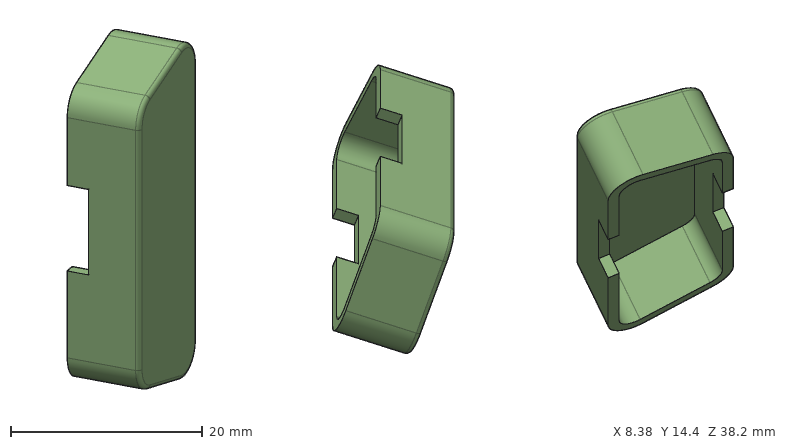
import cadquery as cq
import math

depth = 8.38
width = 14.35
height = 38.16

end_slope = math.radians(15)
corner_radius = 3.175
wall = 1.27
floor = 1.27
back_edge_radius = 0.508

notch_length = 9.78
notch_depth = 2.44
notch_center_z = 1.08


def trapezoid(inset, radius, start_x, length):
    """Rounded trapezoid prism along X, its sides moved inward by inset."""
    tall_arc_z = height / 2 - corner_radius
    slope_offset = (corner_radius - inset) / math.cos(end_slope)
    tall_arc_y = width / 2 - corner_radius
    side_y = width / 2 - inset
    tall_z = tall_arc_z + slope_offset + (side_y - tall_arc_y) * math.tan(end_slope)
    short_z = tall_z - 2 * side_y * math.tan(end_slope)
    corners = [(side_y, -tall_z), (side_y, tall_z), (-side_y, short_z), (-side_y, -short_z)]
    return (
        cq.Workplane("YZ", origin=(start_x, 0, 0))
        .polyline(corners)
        .close()
        .extrude(length)
        .edges("|X")
        .fillet(radius)
    )


def notch_cutter():
    """Box that removes the notch from both long walls."""
    return (
        cq.Workplane("XY")
        .box(notch_depth, width, notch_length, centered=(False, True, True))
        .translate((0, 0, notch_center_z))
    )


shell = trapezoid(0, corner_radius, 0, depth).faces(">X").edges().fillet(back_edge_radius)
cavity = trapezoid(wall, corner_radius - wall, 0, depth - floor)

result = shell.cut(cavity).cut(notch_cutter())